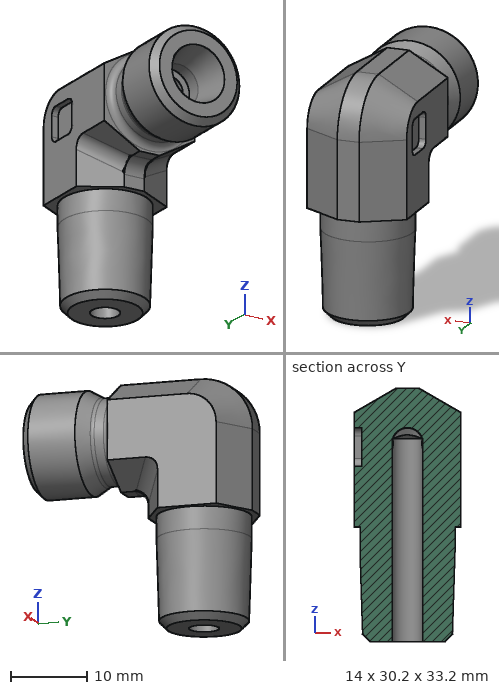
import cadquery as cq
import math


body_width = 14.0
leg_half_height = 7.2
leg_length = 11.0
side_flat_half_height = 4.05
bevel_angle = math.radians(30)
inner_corner_radius = 2.0

port_length = 23.02
port_diameter = body_width
port_chamfer = 1.0
neck_diameter = 11.7
neck_fillet = 1.0
port_cylinder_length = 7.5
neck_cone_angle = math.radians(30)

overall_height = 33.22
stem_length = overall_height - leg_half_height
stem_diameter = 12.52
stem_straight_end = 14.02
stem_taper = 1 / 16
stem_chamfer = 1.0

bore_diameter = 4.0
bore_overrun = 0.55
drill_tip_height = bore_diameter / 2 * math.tan(math.radians(30))
seat_diameter = 6.0
seat_depth = 7.0
mouth_diameter = 8.1
mouth_cone_angle = math.radians(12)

recess_size = 4.98
recess_corner_radius = 1.0
recess_depth = 1.0
recess_center = -0.5

half_width = body_width / 2
top_flat_half_width = half_width - (leg_half_height - side_flat_half_height) / math.tan(bevel_angle)


def leg_along_y(profile):
    """Revolve a (radius, distance) profile about the connector axis, distance running to -Y."""
    return turned(profile).rotate((0, 0, 0), (1, 0, 0), 90)


def leg_along_z(profile):
    """Revolve a (radius, distance) profile about the stem axis, distance running to -Z."""
    return turned(profile).rotate((0, 0, 0), (1, 0, 0), 180)


def turned(profile):
    """Revolve a closed XZ profile about Z."""
    return profile.close().revolve(360, (0, 0, 0), (0, 1, 0))


def body_section(plane):
    """Eight-sided leg section."""
    upper = [
        (half_width, side_flat_half_height),
        (top_flat_half_width, leg_half_height),
        (-top_flat_half_width, leg_half_height),
        (-half_width, side_flat_half_height),
    ]
    lower = [(-x, -y) for x, y in upper]
    return cq.Workplane(plane).polyline(upper + lower).close()


def elbow_body():
    selection_margin = 0.33
    connector_leg = body_section("XZ").extrude(leg_length)
    stem_leg = body_section("XY").extrude(-leg_length)
    bend = (
        cq.Workplane("XY")
        .moveTo(-half_width, 0)
        .lineTo(-half_width, side_flat_half_height)
        .lineTo(-top_flat_half_width, leg_half_height)
        .lineTo(top_flat_half_width, leg_half_height)
        .lineTo(half_width, side_flat_half_height)
        .lineTo(half_width, 0)
        .close()
        .revolve(90, (0, 0, 0), (1, 0, 0))
    )
    body = connector_leg.union(stem_leg).union(bend)
    inner_corner = cq.selectors.BoxSelector(
        (-half_width, -leg_half_height - selection_margin, -leg_half_height - selection_margin),
        (half_width, -side_flat_half_height - selection_margin, -side_flat_half_height - selection_margin),
    )
    return body.edges(inner_corner).fillet(inner_corner_radius)


def connector():
    neck_radius = neck_diameter / 2
    port_radius = port_diameter / 2
    cone_end = port_length - port_cylinder_length
    cone_start = cone_end - (port_radius - neck_radius) / math.tan(neck_cone_angle)
    half_turn = neck_cone_angle / 2
    blend = neck_fillet * math.tan(half_turn)
    blend_start = cone_start - blend
    blend_center_radius = neck_radius + neck_fillet
    flare_middle = neck_fillet * (1 - math.sqrt(0.5))
    profile = (
        cq.Workplane("XZ")
        .lineTo(blend_center_radius, 0)
        .lineTo(blend_center_radius, leg_length)
        .threePointArc(
            (neck_radius + flare_middle, leg_length + flare_middle),
            (neck_radius, leg_length + neck_fillet),
        )
        .lineTo(neck_radius, blend_start)
        .threePointArc(
            (
                blend_center_radius - neck_fillet * math.cos(half_turn),
                blend_start + neck_fillet * math.sin(half_turn),
            ),
            (
                blend_center_radius - neck_fillet * math.cos(neck_cone_angle),
                blend_start + neck_fillet * math.sin(neck_cone_angle),
            ),
        )
        .lineTo(port_radius, cone_end)
        .lineTo(port_radius, port_length - port_chamfer)
        .lineTo(port_radius - port_chamfer, port_length)
        .lineTo(0, port_length)
    )
    return leg_along_y(profile)


def stem():
    radius = stem_diameter / 2
    taper_end = stem_length - stem_chamfer
    end_radius = radius - (taper_end - stem_straight_end) * stem_taper / 2
    profile = (
        cq.Workplane("XZ")
        .lineTo(radius, 0)
        .lineTo(radius, stem_straight_end)
        .lineTo(end_radius, taper_end)
        .lineTo(end_radius - stem_chamfer, stem_length)
        .lineTo(0, stem_length)
    )
    return leg_along_z(profile)


def drilled_bore(length):
    """Profile of a drilled bore with a conical tip just past the other leg's axis."""
    return (
        cq.Workplane("XZ")
        .moveTo(0, -bore_overrun - drill_tip_height)
        .lineTo(bore_diameter / 2, -bore_overrun)
        .lineTo(bore_diameter / 2, length)
        .lineTo(0, length)
    )


def tube_seat():
    """Cylindrical seat opening into a conical mouth."""
    seat_radius = seat_diameter / 2
    mouth_radius = mouth_diameter / 2
    cone_depth = (mouth_radius - seat_radius) / math.tan(mouth_cone_angle)
    profile = (
        cq.Workplane("XZ")
        .moveTo(0, port_length - seat_depth)
        .lineTo(seat_radius, port_length - seat_depth)
        .lineTo(seat_radius, port_length - cone_depth)
        .lineTo(mouth_radius, port_length)
        .lineTo(0, port_length)
    )
    return leg_along_y(profile)


def side_recess():
    return (
        cq.Workplane("XY")
        .box(recess_depth, recess_size, recess_size)
        .edges("|X")
        .fillet(recess_corner_radius)
        .translate((-half_width + recess_depth / 2, recess_center, recess_center))
    )


outside = elbow_body().union(connector()).union(stem())
result = (
    outside.cut(leg_along_y(drilled_bore(port_length)))
    .cut(leg_along_z(drilled_bore(stem_length)))
    .cut(tube_seat())
    .cut(side_recess())
)